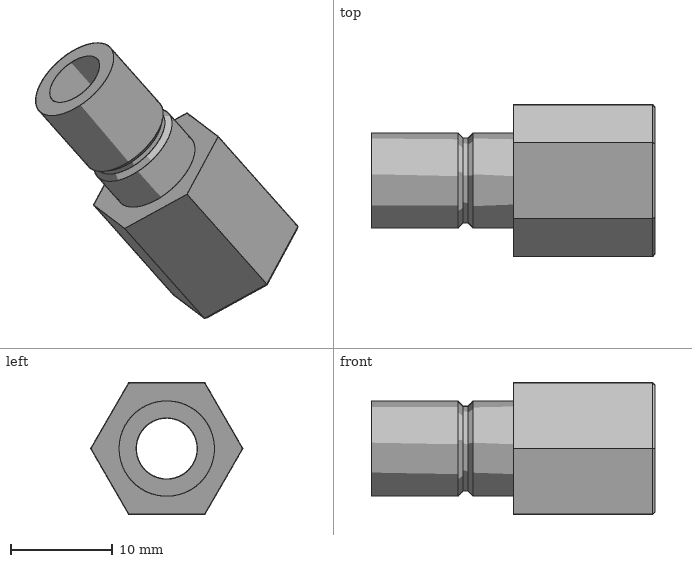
import cadquery as cq
import math

total_length = 28.0
hex_length = total_length / 2
spigot_length = total_length - hex_length

across_flats = 13.0
across_corners = across_flats / math.cos(math.radians(30))
hex_chamfer = 0.25

spigot_radius = 4.7
bore_diameter = 6.0

groove_start = 8.55
groove_depth = 0.5
groove_floor_width = 0.5
groove_wall_width = groove_depth
floor_start = groove_start + groove_wall_width
floor_end = floor_start + groove_floor_width
groove_end = floor_end + groove_wall_width
groove_radius = spigot_radius - groove_depth


def grooved_spigot():
    """Spigot turned about the X axis from its half profile."""
    return (
        cq.Workplane("XY")
        .moveTo(0, 0)
        .lineTo(0, spigot_radius)
        .lineTo(groove_start, spigot_radius)
        .lineTo(floor_start, groove_radius)
        .lineTo(floor_end, groove_radius)
        .lineTo(groove_end, spigot_radius)
        .lineTo(spigot_length, spigot_radius)
        .lineTo(spigot_length, 0)
        .close()
        .revolve(360, (0, 0, 0), (1, 0, 0))
    )


def hex_body():
    """Hexagonal prism with corners on the Y axis, chamfered around its free end."""
    return (
        cq.Workplane("YZ", origin=(spigot_length, 0, 0))
        .polygon(6, across_corners)
        .extrude(hex_length)
        .faces(">X")
        .chamfer(hex_chamfer)
    )


def through_bore():
    """Cylinder that opens the part from end to end."""
    return cq.Workplane("YZ").circle(bore_diameter / 2).extrude(total_length)


result = grooved_spigot().union(hex_body()).cut(through_bore())